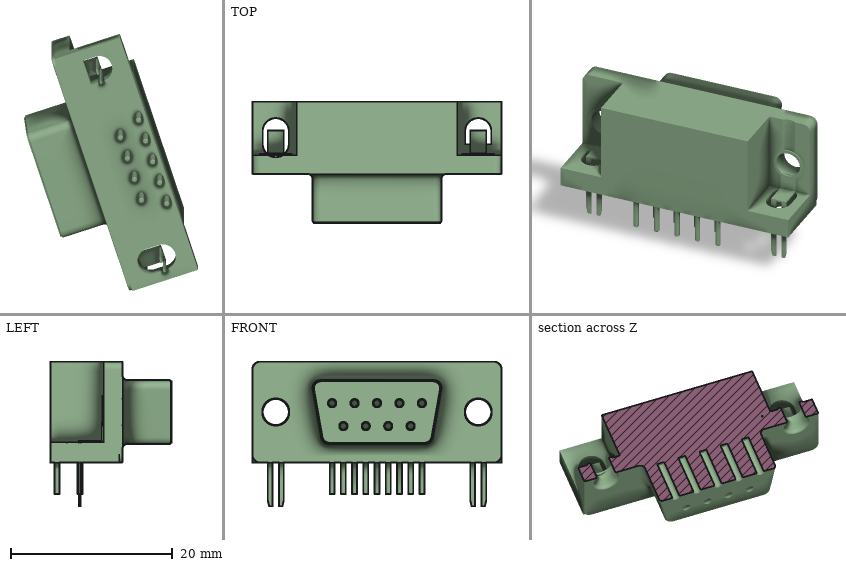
import cadquery as cq
import math


width = 30.8
body_height = 12.47
block_width = 19.85
flange_back = 6.6
foot_height = 2.5
corner_radius = 1.0

plate_back = 8.53
plate_front = 8.93
plate_edge_radius = 0.12

shell_front = 14.88
shell_height = 7.92
shell_bottom = (body_height - shell_height) / 2
shell_top_width = 16.32
shell_side_angle = 10.0
shell_corner_radius = 1.0
shell_base_radius = 0.6
shell_end_radius = 0.2
insert_front = 15.0

contact_pitch = 2.77
row_spacing = 2.83
upper_row_z = 7.33
upper_row_count = 5
lower_row_count = 4
socket_diameter = 0.85
socket_depth = 5.55
socket_chamfer = 0.1
pin_diameter = 0.65
pin_length = 3.95
pin_chamfer = 0.1
back_pin_row = 0.83

mount_x = 12.5
mount_z = body_height / 2
mount_diameter = 3.2
mount_chamfer = 0.1
slot_back = 2.03
slot_front = 6.85

washer_diameter = 4.0
washer_thickness = 0.15
strip_width = 2.03
strip_thickness = 0.22
strip_back = 3.55
leg_gap = 0.77
leg_length = 5.42
leg_taper_length = 0.8
leg_taper = 0.2


def box(x_min, x_max, depth_min, depth_max, z_min, z_max):
    """Box whose Y range is given as depth in front of the back face."""
    size = (x_max - x_min, depth_max - depth_min, z_max - z_min)
    corner = (x_min, -depth_max, z_min)
    return cq.Workplane("XY").box(*size, centered=False).translate(corner)


def facing_front(depth):
    """XZ workplane at a depth in front of the back face, extruding toward -Y."""
    return cq.Workplane("XZ", origin=(0, -depth, 0))


def make_body():
    half = width / 2
    block = box(-block_width / 2, block_width / 2, 0, plate_back, 0, body_height)
    flange = box(-half, half, flange_back, plate_back, 0, body_height)
    flange = flange.edges("|Y and >Z").fillet(corner_radius)
    foot = box(-half, half, 0, plate_back, 0, foot_height)
    return block.union(flange).union(foot)


def make_plate():
    plate = (
        facing_front(plate_back)
        .center(0, body_height / 2)
        .rect(width, body_height)
        .extrude(plate_front - plate_back)
    )
    return plate.edges("|Y").fillet(corner_radius).faces("<Y").edges().fillet(plate_edge_radius)


def make_shell():
    half_top = shell_top_width / 2
    half_bottom = half_top - shell_height * math.tan(math.radians(shell_side_angle))
    shell_top = shell_bottom + shell_height
    shell = (
        facing_front(plate_back)
        .polyline([
            (-half_bottom, shell_bottom),
            (half_bottom, shell_bottom),
            (half_top, shell_top),
            (-half_top, shell_top),
        ])
        .close()
        .extrude(shell_front - plate_back)
    )
    shell = shell.edges("|Y").fillet(shell_corner_radius)
    shell = shell.faces("<Y").edges().fillet(shell_end_radius)
    return shell.faces("<Y").wires().toPending().workplane().extrude(insert_front - shell_front)


def round_shell_base(part):
    """Blend the shell into the front plate."""
    inside_shell_base = cq.selectors.BoxSelector(
        (-shell_top_width / 2, -plate_front - 0.03, shell_bottom - 0.03),
        (shell_top_width / 2, -plate_front + 0.03, shell_bottom + shell_height + 0.03),
    )
    return part.edges(inside_shell_base).fillet(shell_base_radius)


def chamfered_holes(points, diameter, chamfer, mouth, depth):
    """Cutters for holes running back from a mouth face, each with a chamfered rim."""
    bores = facing_front(mouth - depth).pushPoints(points).circle(diameter / 2).extrude(depth)
    for x, z in points:
        rim = cq.Solid.makeCone(
            diameter / 2,
            diameter / 2 + chamfer,
            chamfer,
            pnt=cq.Vector(x, -(mouth - chamfer), z),
            dir=cq.Vector(0, -1, 0),
        )
        bores = bores.union(cq.Workplane(rim))
    return bores


def row_positions(count):
    return [(i - (count - 1) / 2) * contact_pitch for i in range(count)]


def add_contact_row(part, count, row_z, pin_depth):
    """One row of sockets in the shell, with its solder pins below the body."""
    xs = row_positions(count)
    points = [(x, row_z) for x in xs]
    sockets = chamfered_holes(points, socket_diameter, socket_chamfer, insert_front, socket_depth)
    pins = (
        cq.Workplane("XY", origin=(0, 0, -pin_length))
        .pushPoints([(x, -pin_depth) for x in xs])
        .circle(pin_diameter / 2)
        .extrude(pin_length + foot_height / 2)
        .faces("<Z")
        .edges()
        .chamfer(pin_chamfer)
    )
    return part.cut(sockets).union(pins)


def cut_mounting(part):
    """Screw holes, and the boardlock slots with only the left one round at its front end."""
    points = [(-mount_x, mount_z), (mount_x, mount_z)]
    part = part.cut(chamfered_holes(points, mount_diameter, mount_chamfer, plate_front, plate_front))
    radius = mount_diameter / 2
    round_back = slot_back + radius
    round_front = slot_front - radius
    for x in (-mount_x, mount_x):
        ends = [round_back, round_front] if x < 0 else [round_back]
        slot = box(x - radius, x + radius, round_back, round_front, 0, body_height)
        for depth in ends:
            slot = slot.union(cq.Workplane("XY").center(x, -depth).circle(radius).extrude(body_height))
        part = part.cut(slot)
    return part


def make_boardlock(x):
    half = strip_width / 2
    strip_top = foot_height + strip_thickness
    strip_front = strip_back + strip_thickness
    upright_back = flange_back - strip_thickness
    washer = (
        facing_front(flange_back - washer_thickness)
        .center(x, mount_z)
        .circle(washer_diameter / 2)
        .extrude(washer_thickness)
    )
    upright = box(x - half, x + half, upright_back, flange_back, foot_height, mount_z)
    bore = (
        facing_front(upright_back)
        .center(x, mount_z)
        .circle(mount_diameter / 2)
        .extrude(strip_thickness)
    )
    lock = washer.union(upright).cut(bore)
    lock = lock.union(box(x - half, x + half, strip_back, flange_back, foot_height, strip_top))
    for side in (-1, 1):
        inner = x + side * leg_gap / 2
        outer = x + side * half
        leg = (
            facing_front(strip_back)
            .polyline([
                (inner, strip_top),
                (outer, strip_top),
                (outer, leg_taper_length - leg_length),
                (outer - side * leg_taper, -leg_length),
                (inner, -leg_length),
            ])
            .close()
            .extrude(strip_front - strip_back)
        )
        lock = lock.union(leg)
    return lock


result = make_body().union(make_plate()).union(make_shell())
result = round_shell_base(result)
result = cut_mounting(result)
result = add_contact_row(result, upper_row_count, upper_row_z, back_pin_row)
result = add_contact_row(result, lower_row_count, upper_row_z - row_spacing, back_pin_row + row_spacing)
for lock_x in (-mount_x, mount_x):
    result = result.union(make_boardlock(lock_x))